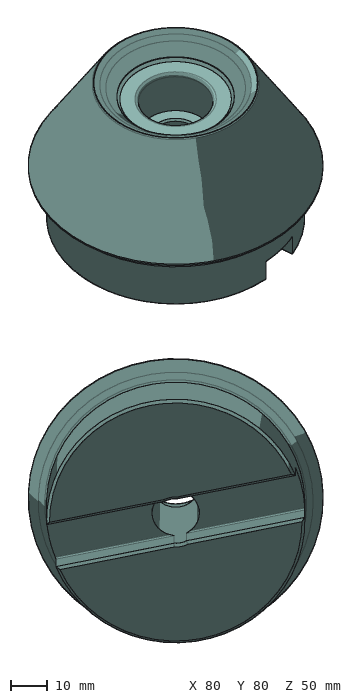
import cadquery as cq

height = 50.0
rim_radius = 40.0
rim_z = 19.8
rim_band = 0.5
flank_bottom_radius = 37.3
flank_bottom_z = 16.4
neck_flare_radius = 35.5
neck_flare_z = 15.2
base_radius = 35.0
base_top_z = 14.6
base_chamfer = 0.8
top_radius = 22.5
lip_chamfer = 0.3

funnel_mouth_radius = 20.55
funnel_mouth_depth = 0.8
funnel_throat_radius = 18.95
funnel_throat_depth = 1.9
funnel_foot_radius = 16.15
funnel_foot_depth = 4.7
seat_radius = 15.9
seat_wall_depth = 4.95
seat_depth = 6.0
seat_corner = 0.8

bore_radius = 10.1
bore_rounding = 0.95
bore_depth = 19.35
hole_radius = 6.4
hole_chamfer = 0.55

slot_width = 12.3
slot_height = 7.3
slot_rounding = 0.4


def make_body():
    """Revolve the double-cone outer shape with the funnel in its top."""
    profile = (
        cq.Workplane("XZ")
        .moveTo(0, 0)
        .lineTo(base_radius, 0)
        .lineTo(base_radius, base_top_z)
        .lineTo(neck_flare_radius, neck_flare_z)
        .lineTo(flank_bottom_radius, flank_bottom_z)
        .lineTo(rim_radius, rim_z - rim_band)
        .lineTo(rim_radius, rim_z)
        .lineTo(top_radius + lip_chamfer / 2, height - lip_chamfer)
        .lineTo(top_radius - lip_chamfer / 2, height)
        .lineTo(top_radius - lip_chamfer, height)
        .lineTo(funnel_mouth_radius, height - funnel_mouth_depth)
        .lineTo(funnel_throat_radius, height - funnel_throat_depth)
        .lineTo(funnel_foot_radius, height - funnel_foot_depth)
        .lineTo(seat_radius, height - seat_wall_depth)
        .lineTo(seat_radius, height - seat_depth + seat_corner)
        .lineTo(seat_radius - seat_corner, height - seat_depth)
        .lineTo(0, height - seat_depth)
        .close()
    )
    return profile.revolve(360, (0, 0, 0), (0, 1, 0))


def cut_bore(body):
    """Cut the rounded-mouth bore and the chamfered hole through its floor."""
    seat_z = height - seat_depth
    floor_z = height - bore_depth
    corner_shift = bore_rounding * (1 - 0.5**0.5)
    cutter = (
        cq.Workplane("XZ")
        .lineTo(hole_radius, 0)
        .lineTo(hole_radius, floor_z - hole_chamfer)
        .lineTo(hole_radius + hole_chamfer, floor_z)
        .lineTo(bore_radius, floor_z)
        .lineTo(bore_radius, seat_z - bore_rounding)
        .threePointArc(
            (bore_radius + corner_shift, seat_z - corner_shift),
            (bore_radius + bore_rounding, seat_z),
        )
        .lineTo(0, seat_z)
        .close()
        .revolve(360, (0, 0, 0), (0, 1, 0))
    )
    return body.cut(cutter)


def cut_slot(body):
    """Cut the slot across the base, with rounded upper corners."""
    cutter = (
        cq.Workplane("XY")
        .box(2 * rim_radius, slot_width, slot_height, centered=(True, True, False))
        .edges("|X and >Z")
        .fillet(slot_rounding)
    )
    return body.cut(cutter)


slotted = cut_slot(cut_bore(make_body()))
result = slotted.faces("<Z").chamfer(base_chamfer)